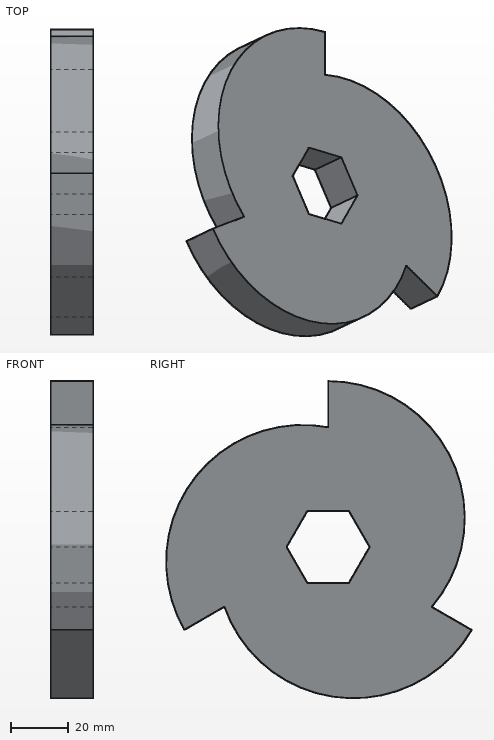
import cadquery as cq
import math

thickness = 14.8
tip_radius = 57.8
lobe_radius = 47.7
hex_across_flats = 25.0
tooth_count = 3

pitch_angle = 360 / tooth_count
lobe_offset = tip_radius - lobe_radius
hex_across_corners = hex_across_flats / math.cos(math.radians(30))

pitch = math.radians(pitch_angle)
root_radius = lobe_offset * math.cos(pitch) + math.sqrt(
    lobe_radius**2 - (lobe_offset * math.sin(pitch)) ** 2
)


def polar(radius, angle):
    """Point in the YZ plane, with the angle in degrees from +Z toward +Y."""
    turn = math.radians(angle)
    return radius * math.sin(turn), radius * math.cos(turn)


def flank_middle(tip_angle):
    """Point on a flank, 60 degrees around the flank's own centre from the tip."""
    centre_y, centre_z = polar(lobe_offset, tip_angle)
    reach_y, reach_z = polar(lobe_radius, tip_angle + 60)
    return centre_y + reach_y, centre_z + reach_z


outline = cq.Workplane("YZ").moveTo(*polar(tip_radius, 0))
for tooth in range(tooth_count):
    tip_angle = tooth * pitch_angle
    next_angle = tip_angle + pitch_angle
    outline = outline.threePointArc(flank_middle(tip_angle), polar(root_radius, next_angle))
    if tooth < tooth_count - 1:
        outline = outline.lineTo(*polar(tip_radius, next_angle))
wheel = outline.close().extrude(thickness)

bore = cq.Workplane("YZ").polygon(6, hex_across_corners).extrude(thickness)

result = wheel.cut(bore)